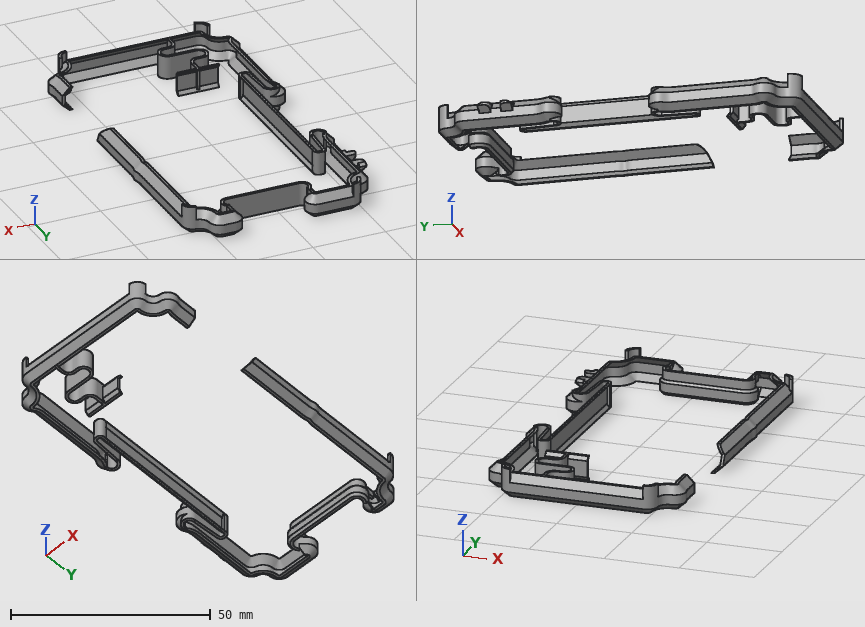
import cadquery as cq
import math

frame_height = 6.35
tab_height = 7.9
total_length = 94.65

wall = 0.8
slope_run = 2.0
wall_bottom = 1.75
wall_top = frame_height - slope_run

thin_wall = 0.75
slim_run = 0.85
slim_rise = 1.0

left_wall_x = 25.55
right_wall_x = 25.45
half_length = total_length / 2

corner_radius = 3.0
notch_radius = 2.5
left_corner_x = 18.1
right_corner_x = 17.45
left_bulge = 0.95
right_bulge = 0.3
left_blend = 1.5
right_blend = 4.0

right_gap_top = -12.07
right_gap_bottom = -31.75
right_gap_slant = 2.2
right_gap_cut = 4.4
bump_y = 11.7

bridge_mid_x = 2.8
bridge_half_span = 9.9
bridge_bend_y = 40.18
bridge_bend_radius = 1.6
bridge_bulge_radius = 2.7
ledge_width = 0.65
ledge_rise = 0.75
ledge_top = 3.9

spring_mid_y = 2.5
spring_blend = 3.7
spring_bulge_drop = 14.5
spring_ring_x = 22.63
spring_ring_drop = 14.1
spring_ring_radius = 1.45
spring_turn_x = 20.25
spring_turn_drop = 23.0
spring_turn_radius = 0.9
bar_lip_x = 17.6
bar_half_length = 22.1

stem_x = -9.96
plate_left = -15.6
plate_right = -4.4
plate_back_y = -26.9
s_left = -15.5
s_right = -4.6
s_pitch = 4.0
s_first_y = -40.54
s_radius = s_pitch / 2

hook_mid_y = 30.35
hook_inner = 1.35
hook_outer = 4.35
hook_tip_x = 27.6
hook_top = 5.5
hook_tip_bottom = 4.8
hook_root_bottom = 3.35
hook_round = 1.2
hook_bevel_width = 1.1
hook_bevel_drop = 0.6


def c_section(run, bottom, top, thickness):
    outer = [(run, 0), (0, bottom), (0, top), (run, frame_height)]
    inner = [(depth + thickness, z) for depth, z in reversed(outer)]
    return outer + inner


def plate_section(thickness, bottom, top):
    return [(0, bottom), (thickness, bottom), (thickness, top), (0, top)]


frame_section = c_section(slope_run, wall_bottom, wall_top, wall)
slim_section = c_section(slim_run, slim_rise, frame_height - slim_rise, thin_wall)
thin_section = plate_section(thin_wall, 0, frame_height)
tab_section = plate_section(wall, wall_top, tab_height)
ledge_depth = thin_wall + ledge_width
bridge_section = [
    (0, 0),
    (thin_wall, 0),
    (ledge_depth, ledge_rise),
    (ledge_depth, ledge_top - ledge_width),
    (thin_wall, ledge_top),
    (thin_wall, frame_height),
    (0, frame_height),
]


shortest_line = 0.001


def along_line(section, start, end):
    """Sweep a section along a line, depth to the left of the travel direction."""
    length = math.dist(start, end)
    dx = (end[0] - start[0]) / length
    dy = (end[1] - start[1]) / length
    plane = cq.Plane(origin=(*start, 0), xDir=(-dy, dx, 0), normal=(dx, dy, 0))
    return cq.Workplane(plane).polyline(section).close().extrude(length)


def along_arc(section, center, radius, start_angle, end_angle):
    """Sweep a section along an arc; depth is on the left, as for a line."""
    if end_angle > start_angle:
        profile = [(max(radius - depth, 0), z) for depth, z in section]
    else:
        profile = [(radius + depth, z) for depth, z in section]
    first = math.radians(min(start_angle, end_angle))
    radial = (math.cos(first), math.sin(first), 0)
    tangent = (math.sin(first), -math.cos(first), 0)
    plane = cq.Plane(origin=(*center, 0), xDir=radial, normal=tangent)
    turn = abs(end_angle - start_angle)
    return cq.Workplane(plane).polyline(profile).close().revolve(turn, (0, 0, 0), (0, 1, 0))


def join(pieces):
    body = pieces[0]
    for piece in pieces[1:]:
        body = body.union(piece)
    return body


def centered(section, thickness):
    return [(depth - thickness / 2, z) for depth, z in section]


def along_rounded_path(section, points, radius):
    """Sweep a section along a polyline whose inner corners are rounded."""
    pieces = []
    start = points[0]
    for before, corner, after in zip(points, points[1:], points[2:]):
        heading_in = math.atan2(corner[1] - before[1], corner[0] - before[0])
        heading_out = math.atan2(after[1] - corner[1], after[0] - corner[0])
        turn = math.remainder(heading_out - heading_in, math.tau)
        side = math.copysign(1, turn)
        setback = radius * math.tan(abs(turn) / 2)
        arc_start = (
            corner[0] - setback * math.cos(heading_in),
            corner[1] - setback * math.sin(heading_in),
        )
        center = (
            arc_start[0] - side * radius * math.sin(heading_in),
            arc_start[1] + side * radius * math.cos(heading_in),
        )
        first = math.degrees(heading_in) - side * 90
        if math.dist(start, arc_start) > shortest_line:
            pieces.append(along_line(section, start, arc_start))
        pieces.append(along_arc(section, center, radius, first, first + math.degrees(turn)))
        start = (
            corner[0] + setback * math.cos(heading_out),
            corner[1] + setback * math.sin(heading_out),
        )
    pieces.append(along_line(section, start, points[-1]))
    return join(pieces)


def wall_blend(wall_x, center, blend_radius):
    """Concave arc from a wall (below) into a bulge arc.

    Returns the arc, the Y where the wall ends and the angle where the bulge starts.
    """
    across = wall_x + blend_radius - center[0]
    rise = math.sqrt((corner_radius + blend_radius) ** 2 - across**2)
    angle = math.degrees(math.atan2(rise, across))
    blend_center = (wall_x + blend_radius, center[1] - rise)
    arc = along_arc(frame_section, blend_center, blend_radius, 180, 180 - angle)
    return arc, center[1] - rise, -angle


def corner(wall_x, end_x, bulge=0, blend_radius=0, end_tab=False, side_tab=False):
    """Corner in the +X +Y quadrant, and the Y where its side wall ends."""
    end_center = (end_x, half_length - corner_radius)
    notch_center = (end_x + corner_radius + notch_radius, end_center[1])
    side_x = wall_x + bulge - corner_radius
    across = notch_center[0] - side_x
    rise = math.sqrt((corner_radius + notch_radius) ** 2 - across**2)
    side_center = (side_x, notch_center[1] - rise)
    meet = math.degrees(math.atan2(rise, across))

    pieces = []
    wall_end = side_center[1]
    side_start = 0
    if bulge:
        blend, wall_end, side_start = wall_blend(wall_x, side_center, blend_radius)
        pieces.append(blend)
    pieces.append(along_arc(frame_section, side_center, corner_radius, side_start, meet))
    pieces.append(along_arc(frame_section, notch_center, notch_radius, meet + 180, 180))
    pieces.append(along_arc(frame_section, end_center, corner_radius, 0, 90))
    if end_tab:
        pieces.append(along_arc(tab_section, end_center, corner_radius, 0, 90))
    if side_tab:
        pieces.append(along_arc(tab_section, side_center, corner_radius, side_start, meet))
    return join(pieces), wall_end


def right_bump():
    """Outward bump on the right wall, and the Y where it leaves the wall."""
    center = (right_wall_x + right_bulge - corner_radius, bump_y)
    blend, wall_end, start = wall_blend(right_wall_x, center, right_blend)
    half = blend.union(along_arc(frame_section, center, corner_radius, start, 0))
    return half.union(half.mirror("XZ", (0, bump_y, 0))), wall_end


def bridge_half():
    """Right half of the bridge with its bulge, and the X where the end wall stops."""
    bend_center = (bridge_mid_x + bridge_half_span, bridge_bend_y)
    diagonal = math.sqrt(0.5)
    flank_end = (
        bend_center[0] + bridge_bend_radius * diagonal,
        bend_center[1] + bridge_bend_radius * diagonal,
    )
    bulge_y = half_length - bridge_bulge_radius
    flank_rise = bulge_y - bridge_bulge_radius * diagonal - flank_end[1]
    flank_start = (flank_end[0] - flank_rise, flank_end[1] + flank_rise)
    bulge_center = (flank_start[0] + bridge_bulge_radius * diagonal, bulge_y)

    bulge = along_arc(frame_section, bulge_center, bridge_bulge_radius, 90, 225)
    flank = along_line(frame_section, flank_start, flank_end).intersect(
        cq.Workplane()
        .polyline([flank_start, flank_end, (bulge_center[0], flank_end[1]), bulge_center])
        .close()
        .extrude(frame_height)
    )
    lip_height = frame_height - wall_top
    lip_corner = (bulge_center[0] - thin_wall, flank_end[1], wall_top)
    lip = cq.Workplane(origin=lip_corner).box(
        thin_wall, bulge_center[1] - flank_end[1], lip_height, centered=False
    )
    bend = along_arc(bridge_section, bend_center, bridge_bend_radius, 45, -90)
    span_y = bridge_bend_y - bridge_bend_radius
    span = along_line(bridge_section, (bend_center[0], span_y), (bridge_mid_x, span_y))
    return join([bulge, flank, lip, bend, span]), bulge_center[0]


def spring_half():
    """Lower half of the sprung bar for a wall on the +X side, and its wall end."""
    bulge_center = (left_wall_x + left_bulge - corner_radius, spring_mid_y - spring_bulge_drop)
    ring_center = (spring_ring_x, spring_mid_y - spring_ring_drop)
    blend, wall_end, start = wall_blend(left_wall_x, bulge_center, spring_blend)

    ring_outer = spring_ring_radius + thin_wall
    gap = math.dist(bulge_center, ring_center)
    crossing = (corner_radius**2 + gap**2 - ring_outer**2) / (2 * corner_radius * gap)
    toward_ring = math.atan2(ring_center[1] - bulge_center[1], ring_center[0] - bulge_center[0])
    bulge_end = math.degrees(toward_ring + math.acos(crossing))
    bulge = along_arc(frame_section, bulge_center, corner_radius, start, bulge_end)
    opening = cq.Workplane().center(*ring_center).circle(spring_ring_radius).extrude(frame_height)
    ring = along_arc(thin_section, ring_center, ring_outer, 0, 180)

    arm_x = ring_center[0] - spring_ring_radius - thin_wall / 2
    lip_x = bar_lip_x + thin_wall / 2
    turn_y = spring_mid_y - spring_turn_drop
    bar_start = (lip_x, spring_mid_y - bar_half_length + thin_wall)
    arm = along_rounded_path(
        centered(thin_section, thin_wall),
        [(arm_x, ring_center[1]), (spring_turn_x, turn_y), (lip_x, turn_y), bar_start],
        spring_turn_radius,
    )
    bar_x = bar_lip_x + thin_wall + slim_run
    bar = along_line(slim_section, (bar_x, spring_mid_y - bar_half_length), (bar_x, spring_mid_y))
    return join([blend, bulge.cut(opening), ring, arm, bar]), wall_end


def pusher():
    """Plate carried by an S-shaped leaf spring."""
    plate_front_y = plate_back_y - thin_wall - slim_run
    plate = along_line(slim_section, (plate_left, plate_front_y), (plate_right, plate_front_y))
    second_y = s_first_y + s_pitch
    third_y = second_y + s_pitch
    path = [
        (stem_x, slope_run + wall / 2 - half_length),
        (stem_x, s_first_y),
        (s_right, s_first_y),
        (s_right, second_y),
        (s_left, second_y),
        (s_left, third_y),
        (stem_x, third_y),
        (stem_x, plate_back_y - thin_wall / 2),
    ]
    return plate.union(along_rounded_path(centered(thin_section, thin_wall), path, s_radius))


def hook():
    """Upper hook on the left wall."""
    root_x = left_wall_x - (hook_top - wall_top)
    far_y = hook_mid_y + hook_outer
    near_y = hook_mid_y + hook_inner
    profile = [
        (-hook_tip_x, hook_top),
        (-hook_tip_x, hook_tip_bottom),
        (-left_wall_x, hook_root_bottom),
        (-left_wall_x, wall_top),
        (-root_x, hook_top),
    ]
    body = (
        cq.Workplane("XZ", origin=(0, far_y, 0))
        .polyline(profile)
        .close()
        .extrude(far_y - near_y)
    )
    rounded_plan = (
        cq.Workplane()
        .moveTo(-root_x, near_y)
        .lineTo(-root_x, far_y)
        .lineTo(-hook_tip_x, far_y)
        .lineTo(-hook_tip_x, near_y + hook_round)
        .radiusArc((-hook_tip_x + hook_round, near_y), -hook_round)
        .close()
        .extrude(frame_height)
    )
    bevel = (
        cq.Workplane("YZ", origin=(-hook_tip_x, 0, 0))
        .moveTo(far_y - hook_bevel_width, hook_top)
        .lineTo(far_y, hook_top)
        .lineTo(far_y, hook_top - hook_bevel_drop)
        .close()
        .extrude(hook_tip_x - left_wall_x)
    )
    return body.intersect(rounded_plan).cut(bevel)


lower_left, lower_left_y = corner(left_wall_x, left_corner_x, left_bulge, left_blend, end_tab=True)
upper_left, upper_left_y = corner(left_wall_x, left_corner_x, end_tab=True)
lower_right, lower_right_y = corner(right_wall_x, right_corner_x, right_bulge, right_blend, end_tab=True)
upper_right, upper_right_y = corner(right_wall_x, right_corner_x, side_tab=True)
bump, bump_start_y = right_bump()
right_bridge, bridge_end_x = bridge_half()
left_bridge = right_bridge.mirror("YZ", (bridge_mid_x, 0, 0))
lower_spring, spring_wall_y = spring_half()
lower_spring = lower_spring.mirror("YZ")
upper_spring = lower_spring.mirror("XZ", (0, spring_mid_y, 0))
upper_hook = hook()

straight_walls = [
    ((-left_wall_x, spring_wall_y), (-left_wall_x, -lower_left_y)),
    ((-left_corner_x, -half_length), (right_corner_x, -half_length)),
    ((right_wall_x, -lower_right_y), (right_wall_x, right_gap_bottom)),
    ((right_wall_x, right_gap_top), (right_wall_x, bump_start_y)),
    ((right_wall_x, 2 * bump_y - bump_start_y), (right_wall_x, upper_right_y)),
    ((right_corner_x, half_length), (bridge_end_x, half_length)),
    ((2 * bridge_mid_x - bridge_end_x, half_length), (-left_corner_x, half_length)),
    ((-left_wall_x, upper_left_y), (-left_wall_x, 2 * spring_mid_y - spring_wall_y)),
]

slant_cut = (
    cq.Workplane("YZ")
    .moveTo(right_gap_top, 0)
    .lineTo(right_gap_top + right_gap_slant, wall_top)
    .tangentArcPoint((right_gap_top + right_gap_cut, frame_height), relative=False)
    .lineTo(right_gap_top, frame_height)
    .close()
    .extrude(right_wall_x)
)

result = join(
    [along_line(frame_section, start, end) for start, end in straight_walls]
    + [
        lower_left.mirror("YZ").mirror("XZ"),
        upper_left.mirror("YZ"),
        lower_right.mirror("XZ"),
        upper_right,
        bump,
        right_bridge,
        left_bridge,
        lower_spring,
        upper_spring,
        pusher(),
        upper_hook,
        upper_hook.mirror("XZ", (0, hook_mid_y, 0)),
    ]
).cut(slant_cut)